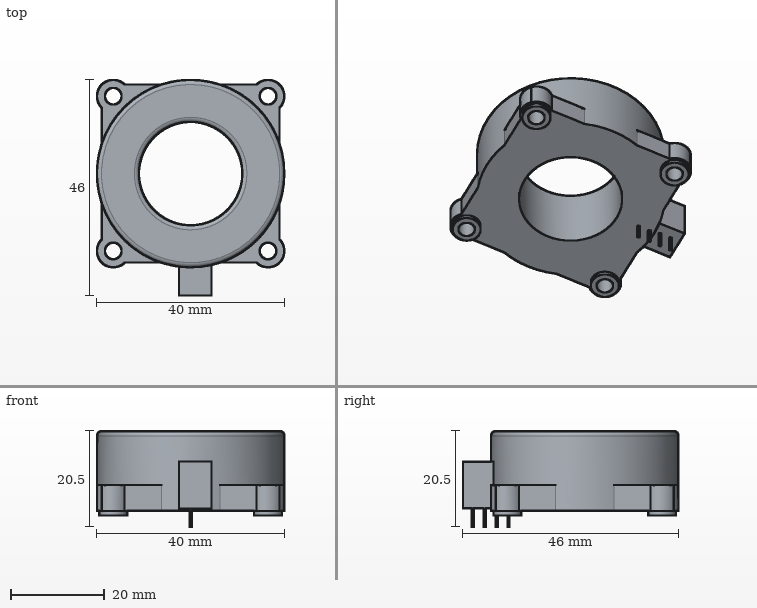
import cadquery as cq

ring_radius = 20.0
bore_radius = 11.0
ring_height = 17.0
rim_fillet = 1.0

flange_side = 38.0
flange_height = 5.5
ear_radius = 3.5
ear_offset = ring_radius - ear_radius
ear_hole_diameter = 3.5

foot_radius = 3.0
foot_height = 1.0

connector_width = 7.0
connector_center_x = 1.0
connector_reach = 6.0
connector_overlap = 2.0
connector_bottom = 0.5
connector_height = 10.0

pin_size = 0.5
pin_pitch = 2.54
pin_count = 4
first_pin_y = -16.25
pin_tip_z = -3.5
pin_embed = 1.0


def ring_with_flange():
    ring = cq.Workplane("XY").circle(ring_radius).extrude(ring_height)
    ring = ring.faces(">Z").edges().fillet(rim_fillet)
    flange = cq.Workplane("XY").rect(flange_side, flange_side).extrude(flange_height)
    return ring.union(flange)


def ear_centers(z):
    spacing = 2 * ear_offset
    return cq.Workplane("XY").workplane(offset=z).rect(spacing, spacing, forConstruction=True).vertices()


def ears_with_feet():
    ears = ear_centers(0).circle(ear_radius).extrude(flange_height)
    feet = ear_centers(-foot_height).circle(foot_radius).extrude(foot_height)
    return ears.union(feet)


def ear_holes():
    return ear_centers(-foot_height).circle(ear_hole_diameter / 2).extrude(foot_height + flange_height)


def cut_bore(body):
    body = body.cut(cq.Workplane("XY").circle(bore_radius).extrude(ring_height))
    bore_rim = cq.selectors.RadiusNthSelector(0)
    return body.faces(">Z").edges(bore_rim).fillet(rim_fillet)


def connector():
    length = connector_reach + connector_overlap
    center_y = -(ring_radius + connector_reach) + length / 2
    return (
        cq.Workplane("XY")
        .workplane(offset=connector_bottom)
        .center(connector_center_x, center_y)
        .rect(connector_width, length)
        .extrude(connector_height)
    )


def pins():
    positions = [(0, first_pin_y - i * pin_pitch) for i in range(pin_count)]
    return (
        cq.Workplane("XY")
        .workplane(offset=pin_tip_z)
        .pushPoints(positions)
        .rect(pin_size, pin_size)
        .extrude(connector_bottom + pin_embed - pin_tip_z)
    )


result = cut_bore(ring_with_flange())
result = result.union(ears_with_feet()).cut(ear_holes())
result = result.union(connector()).union(pins())